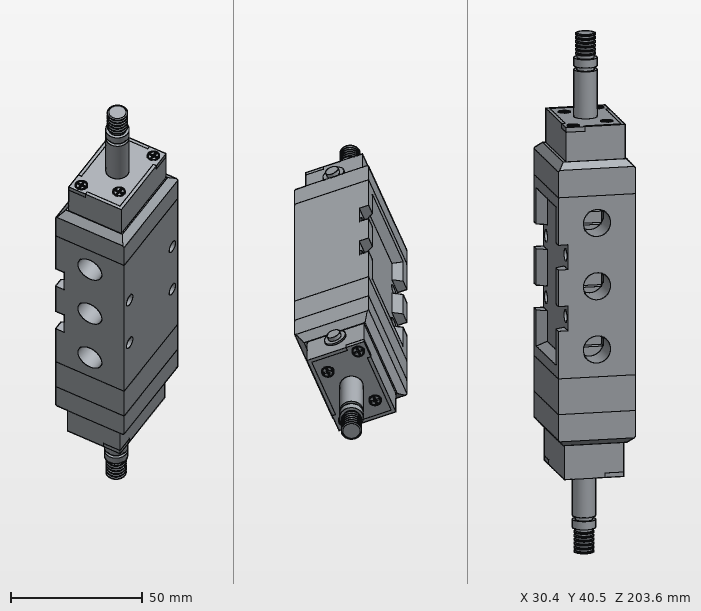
import cadquery as cq


width_x = 30.35
depth_y = 40.5
total_height = 203.6

stack_half = 42.5
spacer_height = 14.0
skirt_height = 13.1
head_height = 13.4
body_top = stack_half
body_bottom = -stack_half + spacer_height
body_mid = (body_top + body_bottom) / 2
skirt_top = stack_half + skirt_height
head_top = skirt_top + head_height
stem_top = total_height / 2

side_bevel_run = 2.7
side_bevel_drop = 3.0
end_bevel_run = 3.2
end_bevel_drop = 2.4

port_diameter = 10.6
port_pitch = 24.8
port_depth = 12.0
gallery_depth = 3.0
outer_gallery_height = 5.1
outer_gallery_shift = 0.9
middle_gallery_height = 6.1

recess_depth = 3.8
pocket_width = 32.4
pocket_height = 62.0
pocket_wall_slope = 2.2
slot_height = 9.7
mount_pitch_y = 32.2
mount_pitch_z = 24.0
mount_hole_diameter = 4.8

head_width_x = 23.3
head_depth_y = 33.7
head_offset_x = 0.3
rim_thickness = 1.4
plate_thickness = 1.8
tab_inner_x = 4.3
tab_inner_y = 9.6
tab_x = head_width_x / 2 - tab_inner_x
tab_y = head_depth_y / 2 - tab_inner_y
plate_bottom = head_top - plate_thickness

screw_offsets = [(8.0, 13.5), (-6.1, 9.2), (6.1, -9.2), (-8.0, -13.5)]
screw_diameter = 4.8
screw_gap = 0.4
screw_gap_depth = 0.8
cross_length = 3.4
cross_width = 0.6
cross_depth = 1.0

button_z = 60.0
button_diameter = 5.2
button_reach = 2.4
flange_diameter = 8.6
flange_thickness = 0.7

stem_diameter = 9.0
groove_bottom = 87.4
groove_height = 1.5
groove_diameter = 6.8
collar_top = 92.1
thread_diameter = 7.8
thread_root_diameter = 6.6
thread_ridges = 6
thread_pitch = 1.53
ridge_crest = 0.3
ridge_flank = 0.25


def block(size_x, size_y, z_low, z_high):
    """Rectangular block centred on the Z axis."""
    height = z_high - z_low
    return cq.Workplane("XY").workplane(offset=z_low).rect(size_x, size_y).extrude(height)


def disc(diameter, z_low, z_high):
    """Round disc centred on the Z axis."""
    return cq.Workplane("XY").workplane(offset=z_low).circle(diameter / 2).extrude(z_high - z_low)


def flip_end_for_end(body):
    """Turn an upper body about Y to make its lower twin."""
    return body.rotate((0, 0, 0), (0, 1, 0), 180)


def port(z, gallery_z, gallery_height):
    """Blind round port with a slot across its floor."""
    front = -depth_y / 2
    bore = (
        cq.Workplane("XZ", origin=(0, front, z))
        .circle(port_diameter / 2)
        .extrude(-port_depth)
    )
    gallery = (
        cq.Workplane("XZ", origin=(0, front + port_depth, gallery_z))
        .rect(port_diameter, gallery_height)
        .extrude(-gallery_depth)
    )
    return bore.union(gallery)


def mounting_recess():
    """Sloped pocket, two cross slots and four through holes, cut from the -X face."""
    face = cq.Workplane("YZ", origin=(-width_x / 2, 0, body_mid))
    pocket = (
        face.rect(pocket_width, pocket_height)
        .workplane(offset=recess_depth)
        .rect(pocket_width - 2 * pocket_wall_slope, pocket_height - 2 * pocket_wall_slope)
        .loft(combine=True)
    )
    slots = face.rarray(1, mount_pitch_z, 1, 2).rect(depth_y, slot_height).extrude(recess_depth)
    holes = (
        face.rarray(mount_pitch_y, mount_pitch_z, 2, 2)
        .circle(mount_hole_diameter / 2)
        .extrude(width_x)
    )
    return pocket.union(slots).union(holes)


def make_valve_body():
    body = block(width_x, depth_y, body_bottom, body_top)
    for side in (-1, 0, 1):
        port_z = body_mid + side * port_pitch
        gallery_z = port_z - side * outer_gallery_shift
        gallery_height = outer_gallery_height if side else middle_gallery_height
        body = body.cut(port(port_z, gallery_z, gallery_height))
    return body.cut(mounting_recess())


def bevelled_prism(plane, size, run, drop, length):
    """Prism whose section has both upper corners bevelled."""
    half = size / 2
    return (
        cq.Workplane(plane)
        .moveTo(-half, body_top)
        .lineTo(half, body_top)
        .lineTo(half, skirt_top - drop)
        .lineTo(half - run, skirt_top)
        .lineTo(run - half, skirt_top)
        .lineTo(-half, skirt_top - drop)
        .close()
        .extrude(length / 2, both=True)
    )


def skirt():
    across_x = bevelled_prism("XZ", width_x, side_bevel_run, side_bevel_drop, depth_y)
    across_y = bevelled_prism("YZ", depth_y, end_bevel_run, end_bevel_drop, width_x)
    return across_x.intersect(across_y)


def override_button():
    """Stepped round button on the +Y side of the head."""
    side = cq.Workplane("XZ", origin=(0, head_depth_y / 2, button_z))
    flange = side.circle(flange_diameter / 2).extrude(-flange_thickness)
    button = side.circle(button_diameter / 2).extrude(-button_reach)
    return flange.union(button)


def cover_plate():
    """Plate inside the head rim, with tabs out to two opposite corners of the head."""
    plate = block(
        head_width_x - 2 * rim_thickness, head_depth_y - 2 * rim_thickness, plate_bottom, head_top
    )
    tab = block(tab_x, tab_y, plate_bottom, head_top)
    shift_x = (head_width_x - tab_x) / 2
    shift_y = (head_depth_y - tab_y) / 2
    for side in (-1, 1):
        plate = plate.union(tab.translate((side * shift_x, side * shift_y, 0)))
    return plate


def make_cap():
    head = block(head_width_x, head_depth_y, skirt_top, head_top)
    head = head.union(override_button()).cut(cover_plate())
    return skirt().union(head.translate((head_offset_x, 0, 0)))


def screw_marks():
    """Ring gap around each screw head and the cross recess in it."""
    gap_bottom = head_top - screw_gap_depth
    ring = disc(screw_diameter, gap_bottom, head_top).cut(
        disc(screw_diameter - 2 * screw_gap, gap_bottom, head_top)
    )
    cross_bottom = head_top - cross_depth
    cross = block(cross_length, cross_width, cross_bottom, head_top).union(
        block(cross_width, cross_length, cross_bottom, head_top)
    )
    mark = ring.union(cross)
    marks = cq.Workplane("XY")
    for x, y in screw_offsets:
        marks = marks.add(mark.translate((x, y, 0)))
    return marks.combine()


def make_stem():
    """Round stem with a groove, a collar and a ridged tip, turned about Z."""
    groove_top = groove_bottom + groove_height
    outer = stem_diameter / 2
    crest = thread_diameter / 2
    root = thread_root_diameter / 2
    profile = (
        cq.Workplane("XZ")
        .moveTo(0, head_top)
        .lineTo(outer, head_top)
        .lineTo(outer, groove_bottom)
        .lineTo(groove_diameter / 2, groove_bottom)
        .lineTo(groove_diameter / 2, groove_top)
        .lineTo(outer, groove_top)
        .lineTo(outer, collar_top)
        .lineTo(root, collar_top)
    )
    ridge_height = ridge_crest + 2 * ridge_flank
    first_ridge = stem_top - ridge_height - (thread_ridges - 1) * thread_pitch
    for ridge in range(thread_ridges):
        z = first_ridge + ridge * thread_pitch
        profile = (
            profile.lineTo(root, z)
            .lineTo(crest, z + ridge_flank)
            .lineTo(crest, z + ridge_flank + ridge_crest)
            .lineTo(root, z + ridge_height)
        )
    return profile.lineTo(0, stem_top).close().revolve(360, (0, 0, 0), (0, 1, 0))


def make_pilot():
    pilot = cover_plate().cut(screw_marks()).union(make_stem())
    return pilot.translate((head_offset_x, 0, 0))


valve_body = make_valve_body()
spacer = block(width_x, depth_y, -stack_half, body_bottom)
upper_cap = make_cap()
lower_cap = flip_end_for_end(upper_cap)
upper_pilot = make_pilot()
lower_pilot = flip_end_for_end(upper_pilot)

bodies = [valve_body, spacer, upper_cap, lower_cap, upper_pilot, lower_pilot]
result = cq.Compound.makeCompound([body.solids().val() for body in bodies])